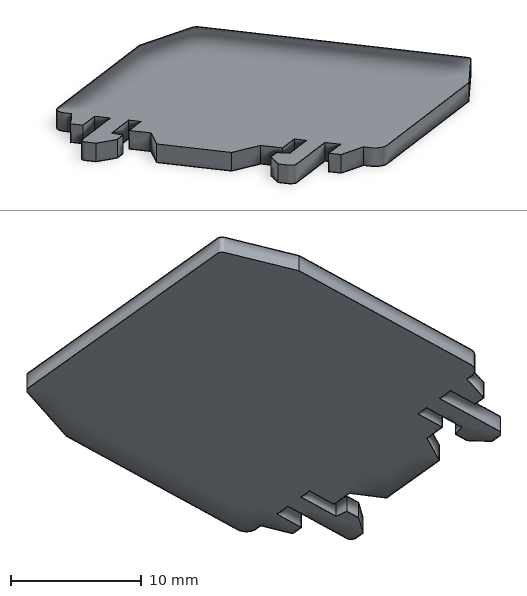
import cadquery as cq

width = 27.0
length = 31.0
thickness = 1.5

half_width = width / 2
top_y = length / 2
bottom_y = -length / 2

shoulder_y = bottom_y + 6.48
body_corner_radius = 1.0
top_half_width = 11.3
top_taper_length = 6.1
top_corner_radius = 0.5

tooth_end_y = bottom_y + 4.0
tooth_root_x = 11.97
tooth_tip_x = 11.1
tooth_inner_x = 10.08

leg_outer_x = 8.8
leg_inner_x = 7.3
leg_corner_radius = 0.5
hook_tip_x = 6.3
hook_end_x = 7.47
hook_root_y = bottom_y + 2.9
hook_top_y = bottom_y + 2.7
hook_chamfer_y = bottom_y + 1.5

tongue_root_x = 4.5
tongue_end_x = 3.07
tongue_end_y = bottom_y + 1.5

right_half = [
    (top_half_width, top_y),
    (half_width, top_y - top_taper_length),
    (half_width, shoulder_y),
    (tooth_root_x, shoulder_y),
    (tooth_tip_x, tooth_end_y),
    (tooth_inner_x, tooth_end_y),
    (tooth_inner_x, shoulder_y),
    (leg_outer_x, shoulder_y),
    (leg_outer_x, bottom_y),
    (hook_end_x, bottom_y),
    (hook_tip_x, hook_chamfer_y),
    (hook_tip_x, hook_top_y),
    (leg_inner_x, hook_root_y),
    (leg_inner_x, shoulder_y),
    (hook_tip_x, shoulder_y),
    (hook_tip_x, tooth_end_y),
    (tongue_root_x, tooth_end_y),
    (tongue_end_x, tongue_end_y),
]
left_half = [(-x, y) for x, y in reversed(right_half)]

plate = (
    cq.Workplane("XY")
    .workplane(offset=-thickness / 2)
    .polyline(right_half + left_half)
    .close()
    .extrude(thickness)
)


def round_corner_pair(body, x, y, radius):
    """Round the upright edges at (x, y) and its mirror image (-x, y)."""
    for side in (-1, 1):
        corner = (side * x, y, 0)
        body = body.edges(cq.selectors.NearestToPointSelector(corner)).fillet(radius)
    return body


plate = round_corner_pair(plate, top_half_width, top_y, top_corner_radius)
plate = round_corner_pair(plate, half_width, shoulder_y, body_corner_radius)
plate = round_corner_pair(plate, leg_outer_x, bottom_y, leg_corner_radius)

result = plate